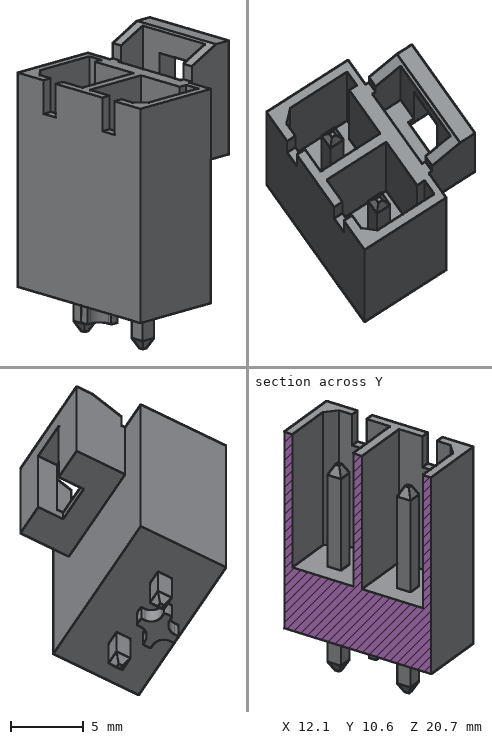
import cadquery as cq

total_height = 20.73
total_depth = 10.6
latch_rise = 2.2
pin_drop = 3.2
body_width = 12.05
body_depth = 6.75
body_height = total_height - latch_rise - pin_drop

wall = 0.68
divider = 0.75
cavity_depth = 10.36
back_wall = 1.16
key_width = 1.18
key_depth = 0.62
corner_x = 0.77
corner_y = 0.83
slot_spacing = 5.76
slot_width = 1.18
slot_depth = 2.4

pin_spacing = 5.7
pin_y = 3.34
pin_size = 1.1
pin_tip_size = 0.33
pin_tip_length = 0.75
pin_top_gap = 2.49

latch_width = 7.75
latch_height = 8.15
latch_ledge = 1.25
latch_slope_drop = 1.1
latch_gap = 0.27
latch_back_wall = 1.5
latch_side_wall = 0.83
latch_floor = 0.83
window_width = 2.82
window_rise = 0.48
window_floor_cut = 0.48

peg_y = 1.97
peg_height = 1.43
peg_radius = 1.5
peg_arm = 0.62
flute_radius = 0.87

body_top = body_height
cavity_floor = body_top - cavity_depth
latch_top = body_top + latch_rise
latch_bottom = latch_top - latch_height


def box(x_size, y_min, y_max, z_min, z_max, x=0):
    """Block centred on x, between the given Y and Z limits."""
    block = cq.Workplane("XY").box(x_size, y_max - y_min, z_max - z_min, centered=(True, False, False))
    return block.translate((x, y_min, z_min))


def make_cavity():
    """Left contact cavity, with one cut-off corner and a key slot at the back."""
    outer = -body_width / 2 + wall
    inner = -divider / 2
    back = body_depth - back_wall
    outline = [
        (outer, wall + corner_y),
        (outer + corner_x, wall),
        (inner, wall),
        (inner, back),
        (outer + key_width, back),
        (outer + key_width, back + key_depth),
        (outer, back + key_depth),
    ]
    return cq.Workplane("XY").workplane(offset=cavity_floor).polyline(outline).close().extrude(cavity_depth)


def make_body():
    """Rectangular shell with mirrored cavities and two front slots."""
    body = box(body_width, 0, body_depth, 0, body_top)
    cavity = make_cavity()
    body = body.cut(cavity).cut(cavity.mirror("YZ"))
    for side in (-1, 1):
        slot = box(slot_width, 0, wall, body_top - slot_depth, body_top, side * slot_spacing / 2)
        body = body.cut(slot)
    return body


def make_latch():
    """Sloped-top housing with an open pocket and a window in its back wall."""
    front = body_depth + latch_gap
    profile = [
        (body_depth, latch_bottom),
        (total_depth, latch_bottom),
        (total_depth, latch_top),
        (total_depth - latch_ledge, latch_top),
        (front, latch_top - latch_slope_drop),
        (front, body_top),
        (body_depth, body_top),
    ]
    latch = cq.Workplane("YZ").polyline(profile).close().extrude(latch_width / 2, both=True)
    pocket_width = latch_width - 2 * latch_side_wall
    pocket_back = total_depth - latch_back_wall
    pocket = box(pocket_width, body_depth, pocket_back, latch_bottom + latch_floor, latch_top)
    window_front = pocket_back - window_floor_cut
    window = box(window_width, window_front, total_depth, latch_bottom, body_top + window_rise)
    return latch.cut(pocket).cut(window)


def make_pin(x):
    """Square pin with a blunt pyramid at each end."""
    bottom_shoulder = pin_tip_length - pin_drop
    top_shoulder = body_top - pin_top_gap - pin_tip_length
    half = pin_size / 2
    pin = box(pin_size, pin_y - half, pin_y + half, bottom_shoulder, top_shoulder, x)
    for shoulder, direction in ((bottom_shoulder, -1), (top_shoulder, 1)):
        tip = (
            cq.Workplane("XY", origin=(x, pin_y, shoulder))
            .rect(pin_size, pin_size)
            .workplane(offset=direction * pin_tip_length)
            .rect(pin_tip_size, pin_tip_size)
            .loft()
        )
        pin = pin.union(tip)
    return pin


def make_peg():
    """Cross-shaped peg: rounded arm ends with concave flutes between the arms."""
    peg_plane = cq.Workplane("XY", origin=(0, peg_y, -peg_height))
    peg = peg_plane.circle(peg_radius).extrude(peg_height)
    near = peg_arm / 2
    flute_centre = near + flute_radius
    flute = (
        peg_plane.center(flute_centre, flute_centre)
        .circle(flute_radius)
        .extrude(peg_height)
    )
    relief_size = peg_radius
    for x, y in ((flute_centre, near), (near, flute_centre)):
        relief = peg_plane.center(x, y).rect(relief_size, relief_size, centered=False).extrude(peg_height)
        flute = flute.union(relief)
    for quarter in range(4):
        peg = peg.cut(flute.rotate((0, peg_y, 0), (0, peg_y, 1), quarter * 90))
    return peg


result = make_body().union(make_latch()).union(make_peg())
for side in (-1, 1):
    result = result.union(make_pin(side * pin_spacing / 2))